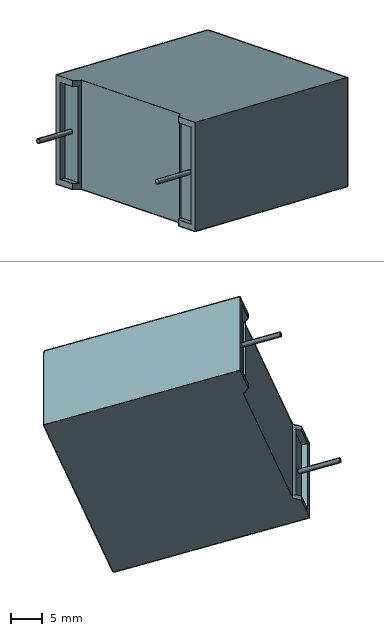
import cadquery as cq

width = 32.3
height = 18.2
total_length = 39.1
lead_length = 6.0
case_length = total_length - lead_length

back_round = 0.43

foot_width = 3.87
foot_height = 1.15
foot_slope_width = 0.9

wall = 1.0
recess_width = 3.4
recess_depth = 1.0

lead_diameter = 0.8
lead_spacing = 27.53


def make_case():
    """Block with two recessed feet on its front face and rounded back edges."""
    half_width = width / 2
    foot_inner_x = half_width - foot_width
    slope_inner_x = foot_inner_x - foot_slope_width
    case = (
        cq.Workplane("XY")
        .workplane(offset=-height / 2)
        .moveTo(-half_width, 0)
        .lineTo(-foot_inner_x, 0)
        .lineTo(-slope_inner_x, foot_height)
        .lineTo(slope_inner_x, foot_height)
        .lineTo(foot_inner_x, 0)
        .lineTo(half_width, 0)
        .lineTo(half_width, case_length)
        .lineTo(-half_width, case_length)
        .close()
        .extrude(height)
    )
    case = case.faces(">Y").edges().fillet(back_round)

    recess_x = half_width - wall - recess_width / 2
    for side in (-1, 1):
        recess = cq.Workplane("XY").box(
            recess_width, recess_depth, height - 2 * wall, centered=(True, False, True)
        )
        case = case.cut(recess.translate((side * recess_x, 0, 0)))
    return case


def make_lead(x):
    """Round wire standing on the floor of a recess and pointing toward -Y."""
    return (
        cq.Workplane("XZ", origin=(x, recess_depth, 0))
        .circle(lead_diameter / 2)
        .extrude(recess_depth + lead_length)
    )


case = make_case()
leads = [make_lead(side * lead_spacing / 2) for side in (-1, 1)]

result = cq.Compound.makeCompound([case.val(), *[lead.val() for lead in leads]])